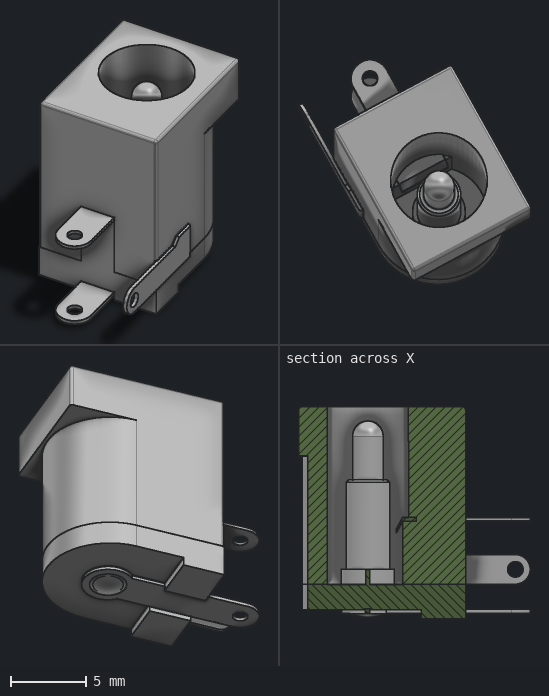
import cadquery as cq
import math


width = 9.02
depth = 11.1
axis_to_back = 4.6
foot_height = 0.6
base_thickness = 1.7
total_height = 14.1

back_y = axis_to_back
front_y = back_y - depth
base_bottom_z = foot_height
base_top_z = base_bottom_z + base_thickness
half_width = width / 2

cap_height = 3.3
cap_bottom_z = total_height - cap_height
body_setback = 0.23
edge_radius = 0.2
body_back_y = back_y - body_setback
bore_diameter = 6.4
bore_radius = bore_diameter / 2
flat_y = -2.31

foot_depth = 2.95
boss_height = 1.0

lug_reach = 4.3
lug_width = 2.54
lug_hole_diameter = 1.0
tip_y = front_y - lug_reach
contact_width = 3.51

spring_thickness = 0.25
spring_z = 6.5
leaf_tip_y = -1.9
leaf_drop = 0.77

bottom_thickness = 0.3
bottom_inset = 0.05
bottom_terminal_z = base_bottom_z + bottom_inset - bottom_thickness
rivet_radius = 1.23
rivet_height = 0.26

side_thickness = 0.3
side_overhang = 0.23
side_lug_width = 2.0
side_lug_top_z = base_top_z + side_lug_width
side_length = 4.25
side_rise = 0.48
ramp_start = 2.13
ramp_y = front_y + ramp_start
ramp_length = 0.52
side_corner_radius = 0.25
side_inner_x = half_width + side_overhang - side_thickness
side_back_y = front_y + side_length
side_clearance = 0.1

core_radius = 1.02
core_ball_z = 12.14
sleeve_radius = 1.45
sleeve_chamfer = 0.17
sleeve_top_z = 9.24
boss_top_z = base_top_z + boss_height


def box(x_size, y_from, y_to, z_from, z_to):
    """Block centred on X = 0 between the given Y and Z limits."""
    block = cq.Workplane("XY").box(x_size, y_to - y_from, z_to - z_from, centered=(True, False, False))
    return block.translate((0, y_from, z_from))


def cylinder(radius, z_from, z_to):
    """Round bar on the pin axis."""
    return cq.Workplane("XY").workplane(offset=z_from).circle(radius).extrude(z_to - z_from)


def round_back_block(z_from, z_to):
    """Block with a straight front and a half-round back."""
    shoulder_y = body_back_y - half_width
    return (
        cq.Workplane("XY")
        .workplane(offset=z_from)
        .moveTo(-half_width, front_y)
        .lineTo(half_width, front_y)
        .lineTo(half_width, shoulder_y)
        .threePointArc((0, body_back_y), (-half_width, shoulder_y))
        .close()
        .extrude(z_to - z_from)
    )


def lug(strip_width, start_y, thickness):
    """Flat strip at Z = 0 running to -Y, with a round tip and a wire hole."""
    hole_y = tip_y + strip_width / 2
    strip = box(strip_width, hole_y, start_y, 0, thickness)
    tip = cq.Workplane("XY").center(0, hole_y).circle(strip_width / 2).extrude(thickness)
    hole = cq.Workplane("XY").center(0, hole_y).circle(lug_hole_diameter / 2).extrude(thickness)
    return strip.union(tip).cut(hole)


def make_spring_terminal():
    """Flat lug over the tongue, widening in the bore and ending in a leaf that slopes down."""
    plate = lug(lug_width, flat_y, spring_thickness)
    plate = plate.union(box(contact_width, -bore_radius, flat_y, 0, spring_thickness))
    leaf = (
        cq.Workplane("YZ")
        .moveTo(flat_y, 0)
        .lineTo(flat_y, spring_thickness)
        .lineTo(leaf_tip_y, spring_thickness - leaf_drop)
        .lineTo(leaf_tip_y, -leaf_drop)
        .close()
        .extrude(contact_width / 2, both=True)
    )
    return plate.union(leaf).translate((0, 0, spring_z))


def make_bottom_terminal():
    """Flat lug ending in a disc around the pin."""
    disc = cylinder(contact_width / 2, 0, bottom_thickness)
    plate = lug(lug_width, 0, bottom_thickness).union(disc)
    return plate.cut(cylinder(core_radius, 0, bottom_thickness)).translate((0, 0, bottom_terminal_z))


def make_side_terminal():
    """Upright lug on the +X side with a taller, rounded back end."""
    plate = lug(side_lug_width, side_back_y, side_thickness)
    plate = plate.rotate((0, 0, 0), (0, 1, 0), 90)
    plate = plate.translate((side_inner_x, 0, base_top_z + side_lug_width / 2))
    raised = (
        cq.Workplane("YZ")
        .workplane(offset=side_inner_x)
        .moveTo(ramp_y, side_lug_top_z)
        .lineTo(ramp_y + ramp_length, side_lug_top_z + side_rise)
        .lineTo(side_back_y, side_lug_top_z + side_rise)
        .lineTo(side_back_y, base_top_z)
        .lineTo(ramp_y, base_top_z)
        .close()
        .extrude(side_thickness)
    )
    return plate.union(raised).edges("|Z and >Y and >X").fillet(side_corner_radius)


def rivet_arc_middle():
    """Point halfway along the arc from the rivet's rim to its lowest point."""
    sphere_radius = (rivet_radius**2 + rivet_height**2) / (2 * rivet_height)
    half_angle = math.asin(rivet_radius / sphere_radius) / 2
    centre_z = bottom_terminal_z - rivet_height + sphere_radius
    return (sphere_radius * math.sin(half_angle), centre_z - sphere_radius * math.cos(half_angle))


def make_core():
    """Round-ended contact pin with a domed rivet head under the bottom terminal."""
    shank = cylinder(core_radius, bottom_terminal_z, core_ball_z)
    ball = cq.Workplane("XY").sphere(core_radius).translate((0, 0, core_ball_z))
    rivet = (
        cq.Workplane("XZ")
        .moveTo(0, bottom_terminal_z)
        .lineTo(rivet_radius, bottom_terminal_z)
        .threePointArc(rivet_arc_middle(), (0, bottom_terminal_z - rivet_height))
        .close()
        .revolve(360, (0, 0, 0), (0, 1, 0))
    )
    return shank.union(ball).union(rivet)


def make_sleeve():
    """Chamfered tube around the pin core, standing on the boss."""
    tube = cylinder(sleeve_radius, boss_top_z, sleeve_top_z).faces(">Z").chamfer(sleeve_chamfer)
    return tube.cut(cylinder(core_radius, boss_top_z, sleeve_top_z))


def make_base(bottom_terminal):
    """Floor with foot, pin boss and a tongue that carries the spring terminal."""
    foot = box(width, front_y, front_y + foot_depth, 0, base_bottom_z)
    foot_slot = box(lug_width, front_y, front_y + foot_depth, 0, base_bottom_z)
    base = round_back_block(base_bottom_z, base_top_z).union(foot).cut(foot_slot)
    base = base.union(cylinder(contact_width / 2, base_top_z, boss_top_z))
    base = base.union(box(lug_width, front_y, flat_y, base_top_z, spring_z))
    base = base.cut(cylinder(core_radius, base_bottom_z, boss_top_z))
    return base.cut(bottom_terminal)


def make_side_relief():
    """Shallow relief in the housing side behind the front part of the side terminal."""
    relief_depth = half_width - side_inner_x + side_clearance
    relief = box(relief_depth, front_y, ramp_y, base_top_z, side_lug_top_z)
    return relief.translate((half_width - relief_depth / 2, 0, 0))


def make_housing(spring_terminal, side_terminal):
    """Shell with a bore, a ledge for the spring terminal and slots for tongue and terminals."""
    body = round_back_block(base_top_z, cap_bottom_z).edges("|Z and <Y").fillet(edge_radius)
    cap = box(width, front_y, back_y, cap_bottom_z, total_height)
    cap = cap.edges("|Z or >Z").fillet(edge_radius)
    shell = body.union(cap)
    bore = cylinder(bore_radius, base_top_z, total_height)
    ledge = box(bore_diameter, -bore_radius, flat_y, base_top_z, spring_z)
    shell = shell.cut(bore.cut(ledge))
    tongue_slot = box(lug_width, front_y, flat_y, base_top_z, spring_z)
    shell = shell.cut(tongue_slot).cut(spring_terminal).cut(side_terminal)
    return shell.cut(make_side_relief())


spring_terminal = make_spring_terminal()
bottom_terminal = make_bottom_terminal()
side_terminal = make_side_terminal()
core = make_core()
sleeve = make_sleeve()
base = make_base(bottom_terminal)
housing = make_housing(spring_terminal, side_terminal)

bodies = [housing, base, core, sleeve, spring_terminal, bottom_terminal, side_terminal]
result = cq.Compound.makeCompound([body.solids().val() for body in bodies])